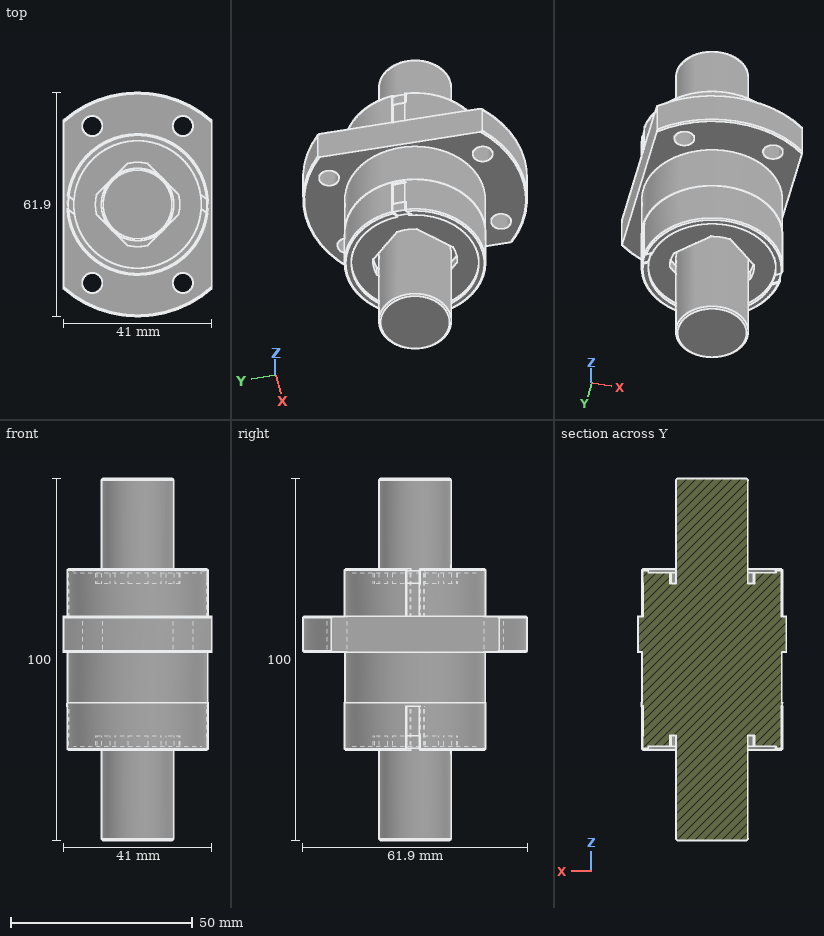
import cadquery as cq
import math

shaft_length = 100
shaft_diameter = 20
shaft_chamfer = 0.5

nut_length = 50
nut_top = nut_length / 2
nut_bottom = -nut_top
spigot_diameter = 39
waist_diameter = 38.8
spigot_chamfer = 0.4
waist_bottom = -12

flange_diameter = 61.9
flange_width = 41
flange_bottom = 2
flange_thickness = 9.9
flange_top = flange_bottom + flange_thickness
flange_chamfer = 0.4
bolt_hole_diameter = 5.5
bolt_circle_diameter = 50
bolt_angles = (60, 120, 240, 300)

wiper_diameter = 35.2
wiper_recess = 1
wiper_seat_depth = 4
wiper_bore_diameter = 23.3
wiper_bore_flats = 19.9

slot_width = 3.8
slot_floor = 17.5
slot_shift = 1.5
slot_overshoot = 1
slot_fill_diameter = 38.2
wiper_tab_diameter = 38.4
wiper_tab_recess = 0.5
lower_slot_top = -12.9


def cylinder(diameter, bottom, top):
    return cq.Workplane("XY").workplane(offset=bottom).circle(diameter / 2).extrude(top - bottom)


def make_shaft():
    shaft = cylinder(shaft_diameter, -shaft_length / 2, shaft_length / 2)
    return shaft.faces("<Z or >Z").chamfer(shaft_chamfer)


def make_flange():
    flange = cylinder(flange_diameter, flange_bottom, flange_top)
    flange = flange.faces("<Z or >Z").chamfer(flange_chamfer)
    sides = cq.Workplane("XY").box(flange_width, flange_diameter, shaft_length)
    bolt_points = [
        (
            bolt_circle_diameter / 2 * math.cos(math.radians(angle)),
            bolt_circle_diameter / 2 * math.sin(math.radians(angle)),
        )
        for angle in bolt_angles
    ]
    holes = (
        cq.Workplane("XY")
        .workplane(offset=flange_bottom)
        .pushPoints(bolt_points)
        .circle(bolt_hole_diameter / 2)
        .extrude(flange_thickness)
    )
    return flange.intersect(sides).cut(holes)


def make_body():
    upper = cylinder(spigot_diameter, flange_top, nut_top).faces(">Z").chamfer(spigot_chamfer)
    waist = cylinder(waist_diameter, waist_bottom, flange_bottom)
    lower = cylinder(spigot_diameter, nut_bottom, waist_bottom).faces("<Z").chamfer(spigot_chamfer)
    return upper.union(make_flange()).union(waist).union(lower)


def make_wiper_bore(bottom, top):
    square = (
        cq.Workplane("XY")
        .workplane(offset=bottom)
        .rect(wiper_bore_flats, wiper_bore_flats)
        .extrude(top - bottom)
        .rotate((0, 0, 0), (0, 0, 1), 45)
    )
    return square.intersect(cylinder(wiper_bore_diameter, bottom, top))


def make_slots(bottom, top):
    slot_mouth = spigot_diameter / 2 + slot_overshoot
    lean = slot_shift / (spigot_diameter / 2 - slot_floor)
    floor_y = -slot_shift / 2
    mouth_y = floor_y + lean * (slot_mouth - slot_floor)
    half_width = slot_width / 2
    slot = (
        cq.Workplane("XY")
        .workplane(offset=bottom)
        .polyline([
            (-slot_floor, floor_y - half_width),
            (-slot_mouth, mouth_y - half_width),
            (-slot_mouth, mouth_y + half_width),
            (-slot_floor, floor_y + half_width),
        ])
        .close()
        .extrude(top - bottom)
    )
    return slot.union(slot.rotate((0, 0, 0), (0, 0, 1), 180))


def make_slot_filling(bottom, top, diameter):
    return make_slots(bottom, top).intersect(cylinder(diameter, bottom, top))


nut = make_body()

upper_seat = nut_top - wiper_seat_depth
lower_seat = nut_bottom + wiper_seat_depth
upper_wiper_face = nut_top - wiper_recess
lower_wiper_face = nut_bottom + wiper_recess
nut = nut.cut(make_slots(flange_top, nut_top))
nut = nut.cut(make_slots(nut_bottom, lower_slot_top))
nut = nut.union(make_slot_filling(flange_top, upper_seat, slot_fill_diameter))
nut = nut.union(make_slot_filling(upper_seat, nut_top - wiper_tab_recess, wiper_tab_diameter))
nut = nut.union(make_slot_filling(lower_seat, lower_slot_top, slot_fill_diameter))
nut = nut.union(make_slot_filling(nut_bottom + wiper_tab_recess, lower_seat, wiper_tab_diameter))

nut = nut.cut(cylinder(wiper_diameter, upper_wiper_face, nut_top))
nut = nut.cut(cylinder(wiper_diameter, nut_bottom, lower_wiper_face))
nut = nut.cut(make_wiper_bore(upper_seat, nut_top))
nut = nut.cut(make_wiper_bore(nut_bottom, lower_seat))

result = nut.union(make_shaft())